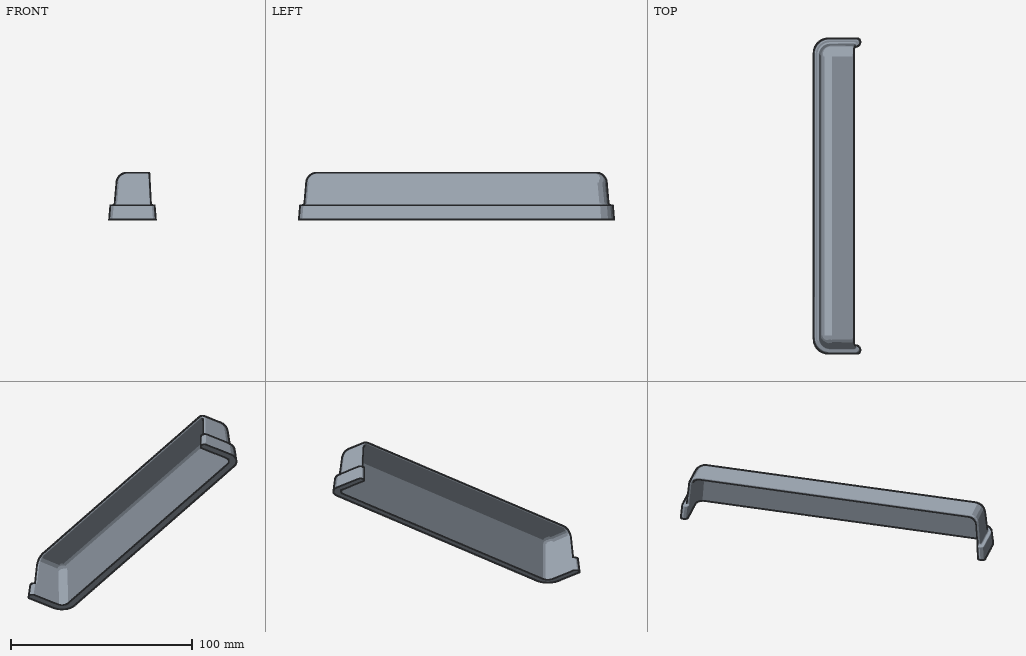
import cadquery as cq
import math

length = 174.0
width = 26.0
height = 26.0

draft = 5.0
wall = 2.0
flange_height = 8.0
flange_overhang = 2.3
rim_lean = 3.0

body_radius = 6.1
flange_radius = body_radius + flange_overhang
cavity_radius = body_radius - wall
rim_radius = 0.9
flange_end_radius = 2.0
flange_top_radius = 0.5
neck_radius = 0.9

back = -width / 2
front = width / 2
rim_bottom = front - flange_overhang
trim_end = front + width


def drafted_block(inset, top, x_end, corner_radius):
    """Block tapering upward, with the two upright corners on its closed side rounded."""
    x_start = back + inset
    closed_half = cq.selectors.BoxSelector((back, -length, 0), (0, length, height))
    return (
        cq.Workplane("XY")
        .center((x_start + x_end) / 2, 0)
        .rect(x_end - x_start, length - 2 * inset)
        .extrude(top, taper=draft)
        .edges("not(|X or |Y)")
        .edges(closed_half)
        .fillet(corner_radius)
    )


def domed_block(inset, top, radius):
    """Drafted block running past the open side, with its other roof edges rounded too."""
    block = drafted_block(inset, top, trim_end, radius)
    return block.faces(">Z").edges("not >X").fillet(radius)


def open_side_trim():
    """Everything beyond the slightly leaning plane of the open rim."""
    rim_top = rim_bottom - height * math.tan(math.radians(rim_lean))
    return (
        cq.Workplane("XZ")
        .polyline([(rim_bottom, 0), (trim_end, 0), (trim_end, height), (rim_top, height)])
        .close()
        .extrude(length, both=True)
    )


cavity = domed_block(flange_overhang + wall, height - wall, cavity_radius)

cover = domed_block(flange_overhang, height, body_radius).cut(cavity).cut(open_side_trim())
cover = cover.faces(">X").edges("not <Z").fillet(rim_radius)

flange = drafted_block(0, flange_height, front, flange_radius).cut(cavity)
flange = flange.faces(">X").edges("not |Y").fillet(flange_end_radius)
flange = flange.faces(">Z").edges().fillet(flange_top_radius)

neck_half_length = length / 2 - flange_overhang
neck_reach = flange_top_radius / 2
neck_edges = cq.selectors.BoxSelector(
    (back + flange_overhang, -neck_half_length, flange_height - neck_reach),
    (rim_bottom, neck_half_length, flange_height + neck_reach),
    boundingbox=True,
)
result = cover.union(flange)
result = result.edges(neck_edges).fillet(neck_radius)